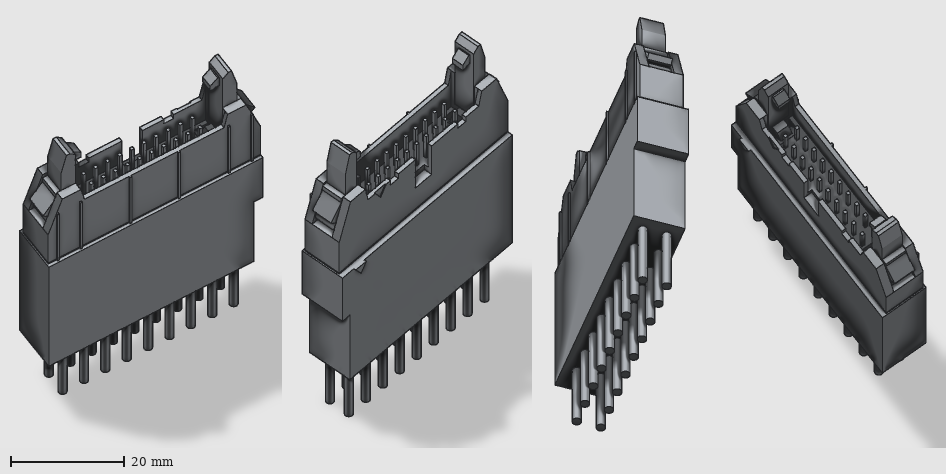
import cadquery as cq
import math

HOUSING_BOTTOM = 13.25
HOUSING_STEP = 30.75
HOUSING_TOP = 42.4
SLOT_FLOOR = 51.2
CAVITY_FLOOR = 49.9
WALL_TOP = 56.2
TOWER_TOP = 59.6
LATCH_TOP = 69.1

HOUSING_WIDTH = 9.6
HOUSING_LENGTH = 45.0
HOUSING_STEP_DEPTH = 1.9
MARK_WIDTH = 2.8
MARK_DEPTH = 2.1
HOUSING_MARK_Y = 18.1
HOUSING_MARK_HEIGHT = 0.5

CONTACT_DIAMETER = 1.65
CONTACT_PITCH = 4.5
CONTACTS_PER_ROW = 9
CONTACT_ROWS = 2

SOCKET_X = 0.2
SOCKET_WIDTH = 8.15
SOCKET_HALF_LENGTH = 22.3
WALL = 0.9
CAVITY_HALF_LENGTH = 15.4
TOWER_OUTER_Y = 19.35
TOWER_FOOT_Y = 14.65
SEAM_HEIGHT = 0.3
SEAM_DEPTH = 0.15
LATCH_SLOT_WIDTH = 4.7
SOCKET_MARK_Y = 11.3
SOCKET_MARK_DEPTH = 0.2
SOCKET_MARK_LENGTH = 2.35

KEY_WIDTH = 4.3
KEY_FLOOR = 48.55
NOTCH_CENTRES = (7.7, -10.15)
NOTCH_WIDTH = 2.1
NOTCH_DEPTH = 1.2

RIB_WIDTH = 0.4
RIB_HEIGHT = 0.35
RIB_OFFSETS = (5.1, 15.55, 20.4)

HEADER_PIN = 0.6
HEADER_ROWS = 2
HEADER_PINS_PER_ROW = 10
HEADER_ROW_LENGTH = 22.9
HEADER_PITCH = HEADER_ROW_LENGTH / (HEADER_PINS_PER_ROW - 1)
HEADER_PIN_TOP = 55.6

RELIEF_START_Y = 12.2
RELIEF_END_Y = 14.9
RELIEF_BOTTOM = 46.4
RELIEF_BULGE = 0.4

LATCH_WIDTH = 4.4
LATCH_INNER_Y = 15.5
LATCH_OUTER_Y = 18.45
LATCH_LEDGE_Y = 19.55
TIP_INNER_Y = 16.65
TIP_OUTER_Y = 17.35
TIP_CHAMFER_HEIGHT = 1.05
TIP_SLOPE_END = 64.7
LEDGE_TOP = 59.1
LEDGE_BOTTOM = 58.0
RAMP_TIP_Y = 22.25
RAMP_TIP_Z = 54.85
RAMP_HEEL_Y = 21.4
PIVOT_RADIUS = 1.5
PIVOT_Y = 19.9
PIVOT_Z = 52.5
HOOK_WIDTH = 2.5
HOOK_TOP = 67.35
HOOK_TOP_DROP = 0.2
HOOK_SHOULDER_Y = 15.1
HOOK_TIP_Y = 13.55
HOOK_TIP_TOP = 66.05
HOOK_BOTTOM = 64.65
HOOK_LIP_Y = 14.5
HOOK_LIP_SLOPE = 0.2
HOOK_LIP_HEIGHT = 0.3
FOOT_TOP = 51.1
FOOT_TOP_Y = 13.95
FOOT_TIP_Y = 12.8
FOOT_TIP_Z = 49.4
HOOK_ROOT_Y = 16.2

SOCKET_BOTTOM = HOUSING_TOP + SEAM_HEIGHT
SOCKET_LEFT = SOCKET_X - SOCKET_WIDTH / 2
SOCKET_RIGHT = SOCKET_X + SOCKET_WIDTH / 2
SLOT_LEFT = SOCKET_X - LATCH_SLOT_WIDTH / 2
SLOT_RIGHT = SOCKET_X + LATCH_SLOT_WIDTH / 2


def block(x_range, y_range, z_range):
    """Box spanning the given (low, high) ranges."""
    spans = [high - low for low, high in (x_range, y_range, z_range)]
    corner = (x_range[0], y_range[0], z_range[0])
    return cq.Workplane("XY").box(*spans, centered=False).translate(corner)


def plate(points, x_start, x_end):
    """Straight-sided (Y, Z) outline extruded along X."""
    return cq.Workplane("YZ", origin=(x_start, 0, 0)).polyline(points).close().extrude(x_end - x_start)


def both_ends(solid):
    """The solid together with its mirror image at the -Y end."""
    return solid.union(solid.mirror("XZ"))


def marker(centre_y, top, length, x_start, x_end):
    """Triangle that marks contact 1, pointing down."""
    half = MARK_WIDTH / 2
    points = [(centre_y - half, top), (centre_y + half, top), (centre_y, top - length)]
    return plate(points, x_start, x_end)


def make_housing():
    half_x = HOUSING_WIDTH / 2
    half_y = HOUSING_LENGTH / 2
    step_y = half_y - HOUSING_STEP_DEPTH
    outline = [
        (-half_y, HOUSING_BOTTOM),
        (step_y, HOUSING_BOTTOM),
        (step_y, HOUSING_STEP),
        (half_y, HOUSING_STEP),
        (half_y, HOUSING_TOP),
        (-half_y, HOUSING_TOP),
    ]
    mark = marker(HOUSING_MARK_Y, HOUSING_TOP, MARK_DEPTH, -half_x - HOUSING_MARK_HEIGHT, 0)
    return plate(outline, -half_x, half_x).union(mark)


def make_contacts():
    return (
        cq.Workplane("XY")
        .rarray(CONTACT_PITCH, CONTACT_PITCH, CONTACT_ROWS, CONTACTS_PER_ROW)
        .circle(CONTACT_DIAMETER / 2)
        .extrude(HOUSING_BOTTOM)
    )


def make_socket_body():
    positive_half = [
        (SOCKET_HALF_LENGTH, SOCKET_BOTTOM),
        (SOCKET_HALF_LENGTH, SLOT_FLOOR),
        (TOWER_OUTER_Y, TOWER_TOP),
        (CAVITY_HALF_LENGTH, TOWER_TOP),
        (TOWER_FOOT_Y, WALL_TOP),
    ]
    negative_half = [(-y, z) for y, z in reversed(positive_half)]
    body = plate(positive_half + negative_half, SOCKET_LEFT, SOCKET_RIGHT)
    neck_half_length = SOCKET_HALF_LENGTH - SEAM_DEPTH
    neck = block(
        (SOCKET_LEFT + SEAM_DEPTH, SOCKET_RIGHT - SEAM_DEPTH),
        (-neck_half_length, neck_half_length),
        (HOUSING_TOP, SOCKET_BOTTOM),
    )
    body = body.union(neck)
    for side in (1, -1):
        for offset in RIB_OFFSETS:
            rib_y = side * offset
            body = body.union(
                block(
                    (SOCKET_RIGHT, SOCKET_RIGHT + RIB_HEIGHT),
                    (rib_y - RIB_WIDTH / 2, rib_y + RIB_WIDTH / 2),
                    (SOCKET_BOTTOM, WALL_TOP),
                )
            )
    return body


def make_relief():
    """Opening with a convex inner flank that drops from the cavity floor to the latch."""
    run = RELIEF_END_Y - RELIEF_START_Y
    drop = CAVITY_FLOOR - RELIEF_BOTTOM
    chord = math.hypot(run, drop)
    bulge_point = (
        (RELIEF_START_Y + RELIEF_END_Y) / 2 + RELIEF_BULGE * drop / chord,
        (CAVITY_FLOOR + RELIEF_BOTTOM) / 2 + RELIEF_BULGE * run / chord,
    )
    return (
        cq.Workplane("YZ", origin=(SLOT_LEFT, 0, 0))
        .moveTo(RELIEF_START_Y, CAVITY_FLOOR)
        .threePointArc(bulge_point, (RELIEF_END_Y, RELIEF_BOTTOM))
        .lineTo(LATCH_INNER_Y, RELIEF_BOTTOM)
        .lineTo(LATCH_INNER_Y, CAVITY_FLOOR)
        .close()
        .extrude(LATCH_SLOT_WIDTH)
    )


def make_socket_cutouts():
    cavity = block(
        (SOCKET_LEFT + WALL, SOCKET_RIGHT - WALL),
        (-CAVITY_HALF_LENGTH, CAVITY_HALF_LENGTH),
        (CAVITY_FLOOR, TOWER_TOP),
    )
    latch_slot = block(
        (SLOT_LEFT, SLOT_RIGHT),
        (CAVITY_HALF_LENGTH, SOCKET_HALF_LENGTH),
        (SLOT_FLOOR, TOWER_TOP),
    )
    key = block((SOCKET_LEFT, SLOT_LEFT), (-KEY_WIDTH / 2, KEY_WIDTH / 2), (KEY_FLOOR, WALL_TOP))
    mark = marker(
        SOCKET_MARK_Y, WALL_TOP, SOCKET_MARK_LENGTH, SOCKET_LEFT, SOCKET_LEFT + SOCKET_MARK_DEPTH
    )
    cutouts = cavity.union(both_ends(latch_slot)).union(both_ends(make_relief())).union(key).union(mark)
    for notch_y in NOTCH_CENTRES:
        cutouts = cutouts.union(
            block(
                (SOCKET_LEFT, SOCKET_LEFT + WALL),
                (notch_y - NOTCH_WIDTH / 2, notch_y + NOTCH_WIDTH / 2),
                (WALL_TOP - NOTCH_DEPTH, WALL_TOP),
            )
        )
    return cutouts


def make_header_pins():
    return (
        cq.Workplane("XY", origin=(SOCKET_X, 0, HOUSING_TOP))
        .rarray(HEADER_PITCH, HEADER_PITCH, HEADER_ROWS, HEADER_PINS_PER_ROW)
        .rect(HEADER_PIN, HEADER_PIN)
        .extrude(HEADER_PIN_TOP - HOUSING_TOP)
    )


def make_latch():
    """Latch at the +Y end: upright lever, thumb ramp, pivot, inward hook and foot in the floor relief."""
    lever_outline = [
        (LATCH_INNER_Y, RELIEF_BOTTOM),
        (LATCH_INNER_Y, LATCH_TOP - TIP_CHAMFER_HEIGHT),
        (TIP_INNER_Y, LATCH_TOP),
        (TIP_OUTER_Y, LATCH_TOP),
        (LATCH_OUTER_Y, TIP_SLOPE_END),
        (LATCH_OUTER_Y, LEDGE_TOP),
        (LATCH_LEDGE_Y, LEDGE_TOP),
        (LATCH_LEDGE_Y, LEDGE_BOTTOM),
        (RAMP_TIP_Y, RAMP_TIP_Z),
        (RAMP_HEEL_Y, PIVOT_Z + PIVOT_RADIUS),
        (PIVOT_Y, PIVOT_Z + PIVOT_RADIUS),
        (PIVOT_Y, RELIEF_BOTTOM),
    ]
    hook_outline = [
        (HOOK_ROOT_Y, HOOK_TOP - HOOK_TOP_DROP),
        (LATCH_INNER_Y, HOOK_TOP - HOOK_TOP_DROP),
        (HOOK_SHOULDER_Y, HOOK_TOP),
        (HOOK_TIP_Y, HOOK_TIP_TOP),
        (HOOK_TIP_Y, HOOK_BOTTOM),
        (HOOK_LIP_Y, HOOK_BOTTOM),
        (HOOK_LIP_Y + HOOK_LIP_SLOPE, HOOK_BOTTOM + HOOK_LIP_HEIGHT),
        (HOOK_ROOT_Y, HOOK_BOTTOM + HOOK_LIP_HEIGHT),
    ]
    foot_outline = [
        (LATCH_INNER_Y, RELIEF_BOTTOM),
        (LATCH_INNER_Y, FOOT_TOP),
        (FOOT_TOP_Y, FOOT_TOP),
        (FOOT_TIP_Y, FOOT_TIP_Z),
        (FOOT_TIP_Y, RELIEF_BOTTOM),
    ]
    lever_left = SLOT_RIGHT - LATCH_WIDTH
    lever = plate(lever_outline, lever_left, SLOT_RIGHT)
    pivot = (
        cq.Workplane("YZ", origin=(lever_left, 0, 0))
        .center(PIVOT_Y, PIVOT_Z)
        .circle(PIVOT_RADIUS)
        .extrude(LATCH_WIDTH)
    )
    hook_left = SOCKET_X - HOOK_WIDTH / 2
    hook_right = SOCKET_X + HOOK_WIDTH / 2
    hook = plate(hook_outline, hook_left, hook_right)
    foot = plate(foot_outline, hook_left, hook_right)
    return lever.union(pivot).union(hook).union(foot)


socket = make_socket_body().cut(make_socket_cutouts())
result = (
    make_housing()
    .union(make_contacts())
    .union(socket)
    .union(make_header_pins())
    .union(both_ends(make_latch()))
)